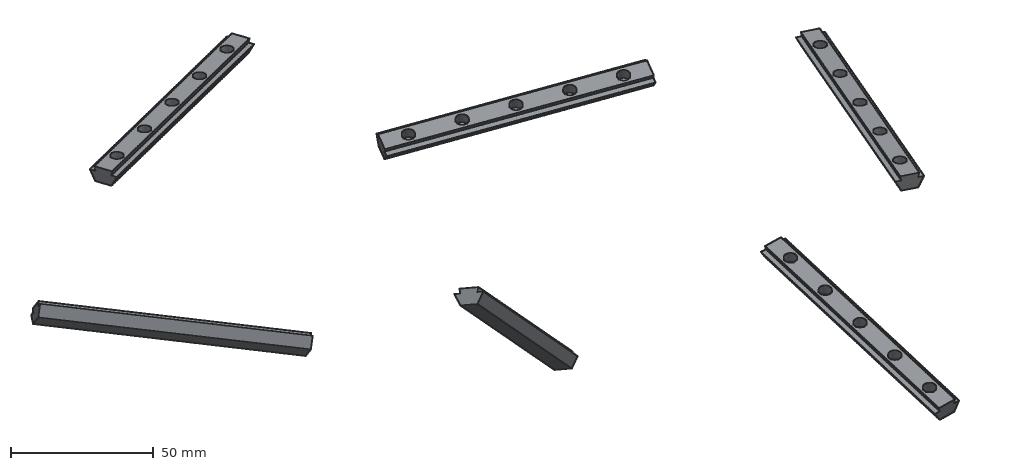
import cadquery as cq

length = 100.0
shoulder_width = 10.8
height = 6.1

head_width = 7.1
neck_width = 6.4
base_width = 6.4
head_height = 1.8

hole_diameter = 4.8
hole_depth = 4.5
hole_count = 5
hole_pitch = length / hole_count


def make_rail():
    """Extrude the symmetric cross-section along Y, centred on the origin."""
    top = height / 2
    bottom = -height / 2
    shoulder = top - head_height
    right_side = [
        (base_width / 2, bottom),
        (shoulder_width / 2, shoulder),
        (neck_width / 2, shoulder),
        (head_width / 2, top),
    ]
    left_side = [(-x, z) for x, z in reversed(right_side)]
    profile = cq.Workplane("XZ").polyline(right_side + left_side).close()
    return profile.extrude(length / 2, both=True)


def cut_holes(rail):
    """Cut the evenly spaced row of flat-bottomed holes from the top face."""
    top_plane = rail.faces(">Z").workplane(origin=(0, 0, 0))
    hole_row = top_plane.rarray(1, hole_pitch, 1, hole_count)
    return hole_row.hole(hole_diameter, hole_depth)


result = cut_holes(make_rail())